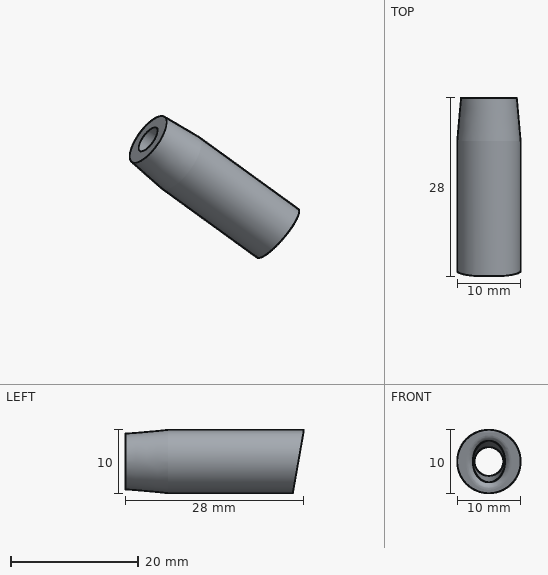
import cadquery as cq
import math

length = 28.0
outer_radius = 4.998
taper_length = 6.75
back_radius = 4.4

slant_angle = 10.0
flat_height = 4.55

mouth_half_width = 2.55
mouth_half_height = 3.28
bore_radius = 2.25
mouth_fillet = 1.0


def make_body():
    """Cylinder whose back end narrows as a straight taper."""
    shoulder_y = length - taper_length
    return (
        cq.Workplane("XY")
        .lineTo(outer_radius, 0)
        .lineTo(outer_radius, shoulder_y)
        .lineTo(back_radius, length)
        .lineTo(0, length)
        .close()
        .revolve(360, (0, 0, 0), (0, 1, 0))
    )


def make_slant_cutter():
    """Wedge in front of the slanted mouth face."""
    drop = flat_height + 2 * outer_radius
    setback = drop * math.tan(math.radians(slant_angle))
    return (
        cq.Workplane("YZ")
        .moveTo(0, flat_height)
        .lineTo(setback, flat_height - drop)
        .lineTo(0, flat_height - drop)
        .close()
        .extrude(outer_radius * 2, both=True)
    )


def make_bore():
    """Straight elliptical passage that blends to a circle within the tapered back end."""
    shoulder_y = length - taper_length
    passage = (
        cq.Workplane("XZ")
        .ellipse(mouth_half_width, mouth_half_height)
        .extrude(-shoulder_y)
    )
    back_blend = (
        cq.Workplane("XZ", origin=(0, shoulder_y, 0))
        .ellipse(mouth_half_width, mouth_half_height)
        .workplane(offset=-taper_length)
        .ellipse(bore_radius, bore_radius)
        .loft(ruled=True)
    )
    return passage.union(back_blend)


sleeve = make_body().cut(make_slant_cutter()).cut(make_bore())

slant_radians = math.radians(slant_angle)
slant_normal = cq.Vector(0, -math.cos(slant_radians), -math.sin(slant_radians))
slant_face = sleeve.faces(cq.DirectionMinMaxSelector(slant_normal)).val()
rim_edges = slant_face.innerWires()[0].Edges()
result = sleeve.newObject(rim_edges).fillet(mouth_fillet)